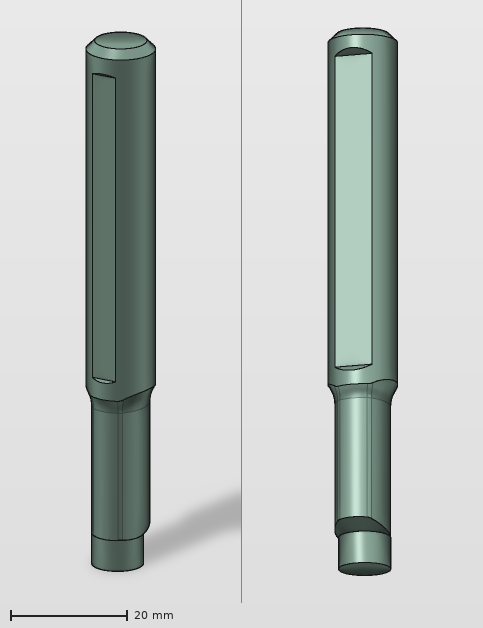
import cadquery as cq

length = 94.8
body_diameter = 12.0
body_radius = body_diameter / 2
top_chamfer = 1.5

flat_bottom = 34.7
flat_top = 90.0
front_flat_depth = 0.5
back_flat_depth = 1.0

shank_top = 28.8
shank_diameter = 11.1
shank_radius = shank_diameter / 2
shank_width = 9.4
shank_half_width = shank_width / 2
side_arc_radius = 7.0
shank_corner_radius = 1.9
neck_radius = body_radius

tip_diameter = 9.0
tip_radius = tip_diameter / 2
tip_height = 5.6
tip_center_y = tip_radius - shank_radius

body_bottom = shank_top + neck_radius


def cylinder(radius, bottom, top, x=0, y=0):
    return cq.Workplane("XY", origin=(x, y, bottom)).circle(radius).extrude(top - bottom)


def lens_shank(bottom, top):
    """Bar bounded by a round front and back and two side arcs."""
    side_center = side_arc_radius - shank_half_width
    bar = cylinder(shank_radius, bottom, top)
    for x in (-side_center, side_center):
        bar = bar.intersect(cylinder(side_arc_radius, bottom, top, x))
    return bar.edges("|Z").fillet(shank_corner_radius)


def flared_shank():
    """Shank that flares tangentially into the body diameter."""
    shank = lens_shank(tip_height, body_bottom)
    plate_side = 4 * body_diameter
    plate = cq.Workplane("XY", origin=(0, 0, body_bottom)).rect(plate_side, plate_side).extrude(neck_radius)
    joined = shank.union(plate)
    margin = 0.1
    root_edges = cq.selectors.BoxSelector(
        (-body_radius, -body_radius, body_bottom - margin),
        (body_radius, body_radius, body_bottom + margin),
    )
    flared = joined.edges(root_edges).fillet(neck_radius)
    return flared.intersect(cylinder(body_radius, tip_height, body_bottom))


def tip_cone():
    """45 degree cone on the tip axis that trims the lower end of the shank."""
    cone_height = body_radius
    cone = (
        cq.Workplane("XY", origin=(0, tip_center_y, tip_height))
        .circle(tip_radius)
        .workplane(offset=cone_height)
        .circle(tip_radius + cone_height)
        .loft()
    )
    return cone.union(cylinder(body_diameter, tip_height + cone_height, length))


def flat_cutter(side, depth):
    """Trapezoidal prism that cuts one flat; side is -1 for front, 1 for back."""
    floor = body_radius - depth
    clearance = 2 * depth
    outer = floor + clearance
    return (
        cq.Workplane("YZ")
        .polyline([
            (side * floor, flat_bottom),
            (side * outer, flat_bottom - clearance),
            (side * outer, flat_top + clearance),
            (side * floor, flat_top),
        ])
        .close()
        .extrude(body_radius, both=True)
    )


body = cylinder(body_radius, body_bottom, length).faces(">Z").chamfer(top_chamfer)
shank = flared_shank().intersect(tip_cone())
tip = cylinder(tip_radius, 0, tip_height, y=tip_center_y)

result = body.union(shank).union(tip)
result = result.cut(flat_cutter(-1, front_flat_depth))
result = result.cut(flat_cutter(1, back_flat_depth))